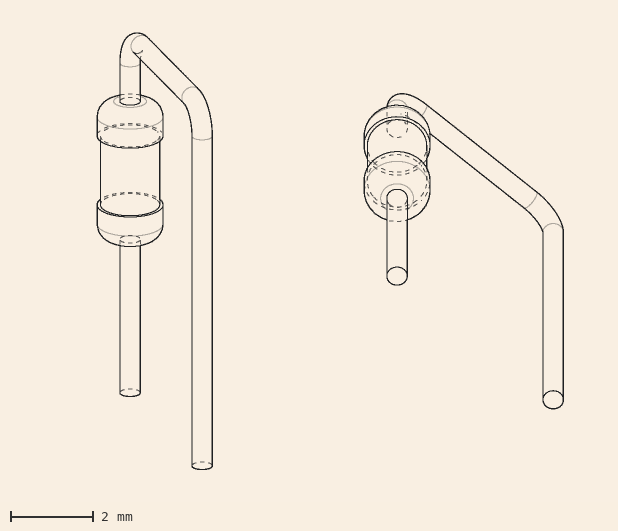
import cadquery as cq

height = 9.6
length = 6.13

wire_diameter = 0.5
wire_radius = wire_diameter / 2
bend_radius = 0.75

cap_diameter = 1.6
sleeve_diameter = 1.44
body_bottom = 4.0
body_height = 3.6
cap_height = 0.9
cap_rounding = 0.4

lead_spacing = length - cap_diameter / 2 - wire_radius
wire_top = height - wire_radius
bend_start = wire_top - bend_radius


def make_wire():
    """Round wire swept up the body axis, across, and down the return leg."""
    path = (
        cq.Workplane("XZ")
        .lineTo(0, bend_start)
        .radiusArc((bend_radius, wire_top), bend_radius)
        .lineTo(lead_spacing - bend_radius, wire_top)
        .radiusArc((lead_spacing, bend_start), bend_radius)
        .lineTo(lead_spacing, 0)
    )
    return cq.Workplane("XY").circle(wire_radius).sweep(path)


def make_cap(bottom, rounded_edge):
    """End cap with its outward-facing rim rounded."""
    return (
        cq.Workplane("XY", origin=(0, 0, bottom))
        .circle(cap_diameter / 2)
        .extrude(cap_height)
        .faces(rounded_edge)
        .edges()
        .fillet(cap_rounding)
    )


def make_body():
    """Sleeve joined to its lower and upper caps."""
    sleeve = (
        cq.Workplane("XY", origin=(0, 0, body_bottom + cap_height))
        .circle(sleeve_diameter / 2)
        .extrude(body_height - 2 * cap_height)
    )
    lower_cap = make_cap(body_bottom, "<Z")
    upper_cap = make_cap(body_bottom + body_height - cap_height, ">Z")
    return sleeve.union(lower_cap).union(upper_cap)


result = make_body().union(make_wire())